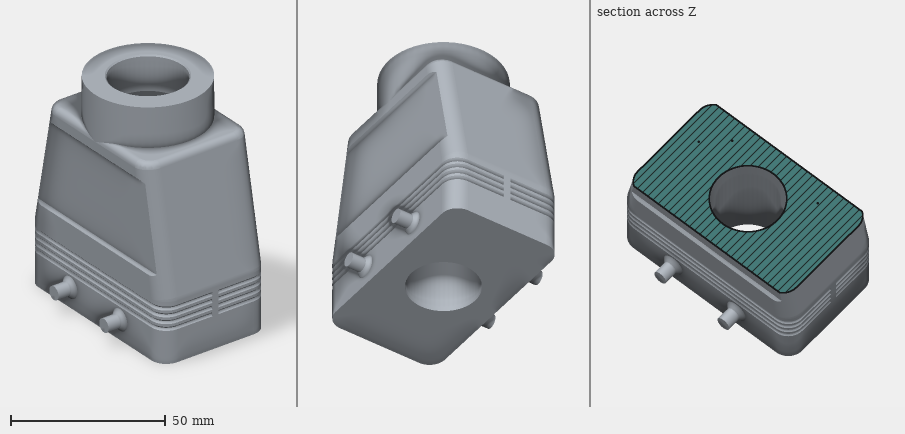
import cadquery as cq
import math


LENGTH = 73.0
WIDTH = 43.0
SHOULDER_HEIGHT = 23.5
BODY_HEIGHT = 70.0
TOP_LENGTH = 54.2
CORNER_RADIUS = 6.0
SHOULDER_RADIUS = 6.0
TOP_EDGE_RADIUS = 2.5

PANEL_DEPTH = 1.0
PANEL_BOTTOM = 31.0
PANEL_TOP = 64.0

GROOVE_COUNT = 4
GROOVE_PITCH = 2.5
GROOVE_WIDTH = 1.5
GROOVE_DEPTH = GROOVE_WIDTH / 2
LOWEST_GROOVE_HEIGHT = 13.0
GROOVE_GAP = 2.5

OVERALL_HEIGHT = 85.0
COLLAR_DIAMETER = WIDTH
BORE_DIAMETER = 27.0
BORE_DEPTH = 11.0
MOUTH_CHAMFER = 0.5
HOLE_DIAMETER = 25.0
LEDGE_RADIUS = 2.0

PIN_SPAN = 56.0
PIN_DIAMETER = 5.0
PIN_SPACING = 27.0
PIN_HEIGHT = 7.5
PIN_BOSS_DIAMETER = 8.0
PIN_BOSS_HEIGHT = (PIN_BOSS_DIAMETER - PIN_DIAMETER) / 2


def make_body():
    """Solid body: straight skirt below the shoulder, ends tapering inward above it."""
    half_length = LENGTH / 2
    half_top = TOP_LENGTH / 2
    outline = [
        (-half_length, 0),
        (half_length, 0),
        (half_length, SHOULDER_HEIGHT),
        (half_top, BODY_HEIGHT),
        (-half_top, BODY_HEIGHT),
        (-half_length, SHOULDER_HEIGHT),
    ]
    body = cq.Workplane("XZ").polyline(outline).close().extrude(WIDTH / 2, both=True)
    shoulder_edges = cq.selectors.BoxSelector(
        (-LENGTH, -WIDTH, SHOULDER_HEIGHT / 2),
        (LENGTH, WIDTH, (SHOULDER_HEIGHT + BODY_HEIGHT) / 2),
    )
    body = body.edges("|Y").edges(shoulder_edges).fillet(SHOULDER_RADIUS)
    body = body.edges("(not |Y) and (not |X)").fillet(CORNER_RADIUS)
    return body.faces(">Z").edges().fillet(TOP_EDGE_RADIUS)


def make_panel_cutter(side):
    """Trapezoidal bar along X that recesses the long face on one side (+1 or -1 in Y)."""
    face = side * WIDTH / 2
    floor = side * (WIDTH / 2 - PANEL_DEPTH)
    profile = [
        (face, PANEL_BOTTOM),
        (floor, PANEL_BOTTOM + PANEL_DEPTH),
        (floor, PANEL_TOP - PANEL_DEPTH),
        (face, PANEL_TOP),
    ]
    return cq.Workplane("YZ").polyline(profile).close().extrude(LENGTH / 2, both=True)


def make_skirt_path(height):
    """Closed outline of the skirt at one height, starting at the middle of the -Y face."""
    half_length = LENGTH / 2
    half_width = WIDTH / 2
    straight_x = half_length - CORNER_RADIUS
    straight_y = half_width - CORNER_RADIUS
    return (
        cq.Workplane("XY", origin=(0, 0, height))
        .moveTo(0, -half_width)
        .lineTo(straight_x, -half_width)
        .radiusArc((half_length, -straight_y), -CORNER_RADIUS)
        .lineTo(half_length, straight_y)
        .radiusArc((straight_x, half_width), -CORNER_RADIUS)
        .lineTo(-straight_x, half_width)
        .radiusArc((-half_length, straight_y), -CORNER_RADIUS)
        .lineTo(-half_length, -straight_y)
        .radiusArc((-straight_x, -half_width), -CORNER_RADIUS)
        .close()
    )


def make_groove_cutter(height):
    """V section swept around the skirt, interrupted at the middle of each end face."""
    face = -WIDTH / 2
    profile = [
        (face, height - GROOVE_WIDTH / 2),
        (face + GROOVE_DEPTH, height),
        (face, height + GROOVE_WIDTH / 2),
    ]
    ring = cq.Workplane("YZ").polyline(profile).close().sweep(make_skirt_path(height))
    gap = cq.Workplane("XY", origin=(0, 0, height)).box(LENGTH, GROOVE_GAP, GROOVE_WIDTH)
    return ring.cut(gap)


def make_collar():
    """Cylindrical cable-entry collar, rooted in the rounded top of the body."""
    root = BODY_HEIGHT - TOP_EDGE_RADIUS
    base = cq.Workplane("XY", origin=(0, 0, root))
    return base.circle(COLLAR_DIAMETER / 2).extrude(OVERALL_HEIGHT - root)


def make_bore_cutter():
    """Chamfered bore, concave ledge and through hole as one turned profile."""
    hole = HOLE_DIAMETER / 2
    bore = BORE_DIAMETER / 2
    straight_end = OVERALL_HEIGHT - BORE_DEPTH
    arc_center = bore - LEDGE_RADIUS
    ledge_drop = math.sqrt(LEDGE_RADIUS**2 - (hole - arc_center) ** 2)
    return (
        cq.Workplane("XZ")
        .lineTo(hole, 0)
        .lineTo(hole, straight_end - ledge_drop)
        .radiusArc((bore, straight_end), -LEDGE_RADIUS)
        .lineTo(bore, OVERALL_HEIGHT - MOUTH_CHAMFER)
        .lineTo(bore + MOUTH_CHAMFER, OVERALL_HEIGHT)
        .lineTo(0, OVERALL_HEIGHT)
        .close()
        .revolve(360, (0, 0, 0), (0, 1, 0))
    )


def make_pin_pair(x):
    """Two opposed locking pins at one X position, each on a conical boss."""
    axis = cq.Workplane("XZ", origin=(x, 0, PIN_HEIGHT))
    pins = axis.circle(PIN_DIAMETER / 2).extrude(PIN_SPAN / 2, both=True)
    boss_profile = [
        (0, 0),
        (PIN_BOSS_DIAMETER / 2, 0),
        (PIN_BOSS_DIAMETER / 2, WIDTH / 2),
        (PIN_DIAMETER / 2, WIDTH / 2 + PIN_BOSS_HEIGHT),
        (0, WIDTH / 2 + PIN_BOSS_HEIGHT),
    ]
    boss_plane = cq.Workplane("XY", origin=(x, 0, PIN_HEIGHT))
    boss = boss_plane.polyline(boss_profile).close().revolve(360, (0, 0, 0), (0, 1, 0))
    return pins.union(boss).union(boss.mirror("XZ"))


result = make_body()

for panel_side in (-1, 1):
    result = result.cut(make_panel_cutter(panel_side))

for groove in range(GROOVE_COUNT):
    result = result.cut(make_groove_cutter(LOWEST_GROOVE_HEIGHT + groove * GROOVE_PITCH))

result = result.union(make_collar())

for pin_x in (-PIN_SPACING / 2, PIN_SPACING / 2):
    result = result.union(make_pin_pair(pin_x))

result = result.cut(make_bore_cutter())